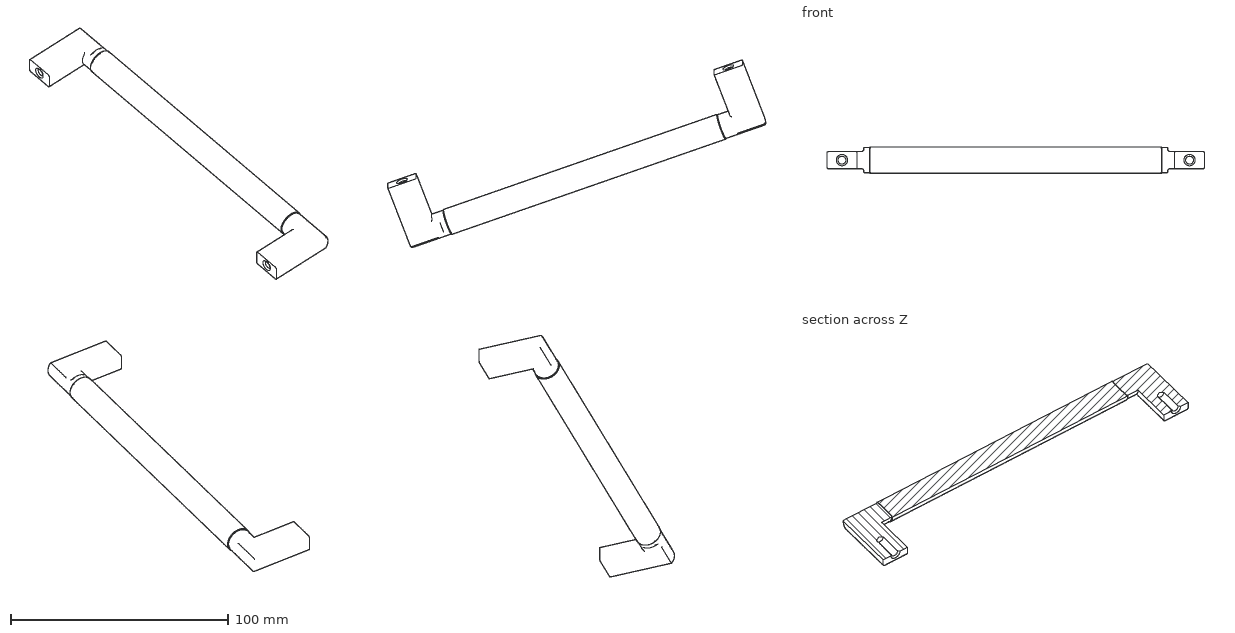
import cadquery as cq
import math

overall_length = 174.0
bar_diameter = 12.2
bar_radius = bar_diameter / 2
reach = 32.1
axis_height = reach - bar_radius

leg_width = 14.0
leg_thickness = 8.0
collar_end = 20.0
shoulder_start = 17.0
shoulder_rim_radius = 0.5
joint_chamfer = 0.4
shoulder_root_radius = 1.0
bracket_radius = 5.85
outer_edge_radius = 0.9
inner_edge_radius = 0.8

hole_diameter = 3.6
hole_depth = 12.0
drill_point_angle = 118.0
countersink_diameter = 5.2

edge_margin = 0.1
half_length = overall_length / 2
bar_length = overall_length - 2 * collar_end
hole_radius = hole_diameter / 2


def make_bar():
    """Round grip bar along X, its axis on the X axis."""
    return (
        cq.Workplane("YZ")
        .workplane(offset=-bar_length / 2)
        .circle(bar_radius)
        .extrude(bar_length)
    )


def make_flat_leg():
    """Flat leg from the mounting face to the back of the handle, rounded about the bar axis."""
    leg_center = -half_length + leg_width / 2
    slab = (
        cq.Workplane("XY")
        .box(leg_width, axis_height + bracket_radius, leg_thickness)
        .translate((leg_center, (bracket_radius - axis_height) / 2, 0))
    )
    back_round = (
        cq.Workplane("YZ")
        .workplane(offset=-half_length)
        .circle(bracket_radius)
        .extrude(leg_width)
    )
    front = (
        cq.Workplane("XY")
        .box(leg_width, axis_height, leg_thickness)
        .translate((leg_center, -axis_height / 2, 0))
    )
    leg = slab.intersect(front.union(back_round))
    leg = leg.faces("<X").edges("not <Y").fillet(outer_edge_radius)
    return leg.faces(">X").edges("|Y").fillet(inner_edge_radius)


def make_collar():
    """Round collar that meets the bar, with a flattened neck reaching into the leg."""
    neck_start = -half_length + leg_width / 2
    shoulder = -half_length + shoulder_start
    root_start = shoulder - shoulder_root_radius
    flat_height = leg_thickness / 2
    root_top = flat_height + shoulder_root_radius
    relief = (
        cq.Workplane("XZ")
        .moveTo(neck_start, flat_height)
        .lineTo(root_start, flat_height)
        .radiusArc((shoulder, root_top), -shoulder_root_radius)
        .lineTo(shoulder, bar_diameter)
        .lineTo(neck_start, bar_diameter)
        .close()
        .extrude(bar_radius, both=True)
    )
    collar = (
        cq.Workplane("YZ")
        .workplane(offset=neck_start)
        .circle(bracket_radius)
        .extrude(collar_end - leg_width / 2)
        .cut(relief)
        .cut(relief.mirror("XY"))
    )
    rim_edges = cq.selectors.BoxSelector(
        (shoulder - edge_margin, -bar_radius, -bar_radius),
        (shoulder + edge_margin, bar_radius, bar_radius),
    )
    collar = collar.edges("%CIRCLE").edges(rim_edges).fillet(shoulder_rim_radius)
    return collar.faces(">X").chamfer(joint_chamfer)


def make_hole_cutter():
    """Countersunk blind hole with a drill point, bored from the mounting face."""
    countersink_radius = countersink_diameter / 2
    countersink_depth = countersink_radius - hole_radius
    point_depth = hole_radius / math.tan(math.radians(drill_point_angle / 2))
    return (
        cq.Workplane("XY")
        .lineTo(countersink_radius, 0)
        .lineTo(hole_radius, countersink_depth)
        .lineTo(hole_radius, hole_depth)
        .lineTo(0, hole_depth + point_depth)
        .close()
        .revolve(360, (0, 0, 0), (0, 1, 0))
        .translate((-half_length + leg_width / 2, -axis_height, 0))
    )


def make_bracket():
    """Left end bracket: leg, collar and mounting hole."""
    return make_flat_leg().union(make_collar()).cut(make_hole_cutter())


bar = make_bar()
left_bracket = make_bracket()
right_bracket = left_bracket.mirror("YZ")

result = cq.Compound.makeCompound(
    [bar.val(), *left_bracket.solids().vals(), *right_bracket.solids().vals()]
)